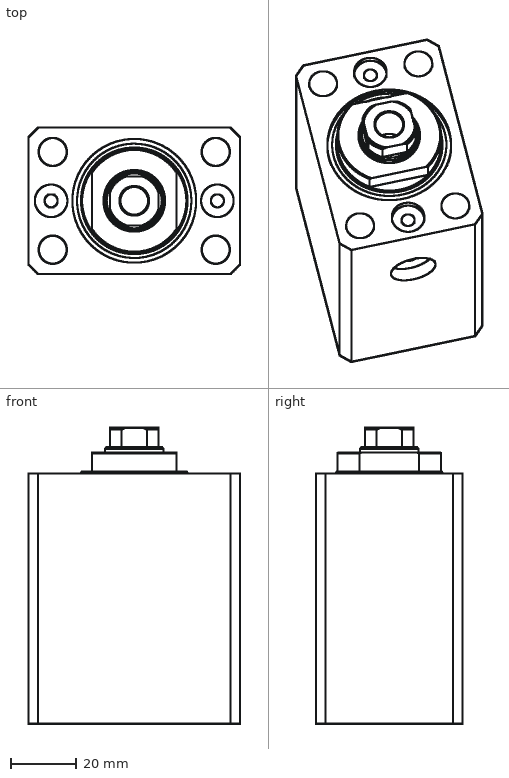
import cadquery as cq
import math

LENGTH = 65.0
WIDTH = 45.0
HEIGHT = 76.9
CORNER_CHAMFER = 3.0

MOUNT_HOLE_D = 8.5
MOUNT_SPACING_X = 50
MOUNT_SPACING_Y = 30

PORT_HOLE_D = 4.0
TOP_PORT_SPACING = 51.0
TOP_PORT_SEAT_D = 10
TOP_PORT_SEAT_DEPTH = 2.0
SIDE_PORT_SEAT_D = 14.0
SIDE_PORT_SEAT_DEPTH = 4.0
SIDE_PORT_DROP = 22.0

GLAND_DEPTH = 30
FLANGE_R = 19.0
FLANGE_CHAMFER = 1.45
COLLAR_BASE_R = 16.4
COLLAR_TOP_R = 16.0
COLLAR_HEIGHT = 0.5
BOSS_R = 15.9
BOSS_HEIGHT = 6.4
BOSS_CHAMFER = 0.3
BOSS_FLATS = 26.0
BORE_CHAMFER = 0.45

TOTAL_HEIGHT = 90.9
ROD_R = 9.0
ROD_CHAMFER = 0.5
HEAD_HEIGHT = 6.0
HEAD_R = ROD_R - ROD_CHAMFER
HEAD_FLATS = 15.0
HEAD_CHAMFER = 0.5
THREAD_D = 8.5
THREAD_DEPTH = 15.0
THREAD_TIP_ANGLE = 118
THREAD_CHAMFER = 0.3

POCKET_FLOOR = HEIGHT - GLAND_DEPTH
SIDE_PORT_Z = HEIGHT - SIDE_PORT_DROP


def cylinder(radius, bottom, top):
    """Upright cylinder on the Z axis between two heights."""
    return cq.Workplane("XY").workplane(offset=bottom).circle(radius).extrude(top - bottom)


def cut_end_ports(body):
    """Seats and drillings of the two top ports and of the side port."""
    end_x = TOP_PORT_SPACING / 2
    body = (
        body.faces(">Z")
        .workplane(origin=(0, 0, HEIGHT))
        .pushPoints([(-end_x, 0), (end_x, 0)])
        .cboreHole(PORT_HOLE_D, TOP_PORT_SEAT_D, TOP_PORT_SEAT_DEPTH, SIDE_PORT_DROP)
    )
    side = cq.Workplane("YZ", origin=(-LENGTH / 2, 0, SIDE_PORT_Z))
    side_seat = side.circle(SIDE_PORT_SEAT_D / 2).extrude(SIDE_PORT_SEAT_DEPTH)
    side_drilling = side.circle(PORT_HOLE_D / 2).extrude(LENGTH / 2)
    return body.cut(side_seat).cut(side_drilling)


def make_housing():
    body = cq.Workplane("XY").rect(LENGTH, WIDTH).extrude(HEIGHT).edges("|Z").chamfer(CORNER_CHAMFER)
    body = (
        body.faces(">Z")
        .workplane(origin=(0, 0, HEIGHT))
        .rect(MOUNT_SPACING_X, MOUNT_SPACING_Y, forConstruction=True)
        .vertices()
        .hole(MOUNT_HOLE_D)
    )
    body = cut_end_ports(body)
    return body.cut(cylinder(FLANGE_R, POCKET_FLOOR, HEIGHT))


def make_gland():
    boss_base = HEIGHT + COLLAR_HEIGHT
    boss_top = HEIGHT + BOSS_HEIGHT
    flange = cylinder(FLANGE_R, POCKET_FLOOR, HEIGHT).faces(">Z").chamfer(FLANGE_CHAMFER)
    collar = (
        cq.Workplane("XY")
        .workplane(offset=HEIGHT)
        .circle(COLLAR_BASE_R)
        .workplane(offset=COLLAR_HEIGHT)
        .circle(COLLAR_TOP_R)
        .loft()
    )
    boss = cylinder(BOSS_R, boss_base, boss_top).faces(">Z").chamfer(BOSS_CHAMFER)
    flats = cq.Workplane("XY").workplane(offset=boss_base).rect(BOSS_FLATS, 2 * BOSS_R).extrude(BOSS_HEIGHT)
    gland = flange.union(collar).union(boss.intersect(flats))
    gland = gland.cut(cylinder(ROD_R, POCKET_FLOOR, boss_top))
    return gland.faces(">Z").edges("%CIRCLE").edges(cq.selectors.RadiusNthSelector(0)).chamfer(BORE_CHAMFER)


def threaded_hole():
    """Half profile of the drilled hole, with its chamfered mouth and pointed end, turned about Z."""
    radius = THREAD_D / 2
    tip_length = radius / math.tan(math.radians(THREAD_TIP_ANGLE / 2))
    wall_bottom = TOTAL_HEIGHT - THREAD_DEPTH
    profile = [
        (0, TOTAL_HEIGHT),
        (radius + THREAD_CHAMFER, TOTAL_HEIGHT),
        (radius, TOTAL_HEIGHT - THREAD_CHAMFER),
        (radius, wall_bottom),
        (0, wall_bottom - tip_length),
    ]
    return cq.Workplane("XZ").polyline(profile).close().revolve(360, (0, 0, 0), (0, 1, 0))


def make_rod():
    head_base = TOTAL_HEIGHT - HEAD_HEIGHT
    shank = cylinder(ROD_R, POCKET_FLOOR, head_base).faces(">Z").chamfer(ROD_CHAMFER)
    head = cylinder(HEAD_R, head_base, TOTAL_HEIGHT).faces(">Z").chamfer(HEAD_CHAMFER)
    square = cq.Workplane("XY").workplane(offset=head_base).rect(HEAD_FLATS, HEAD_FLATS).extrude(HEAD_HEIGHT)
    rod = shank.union(head.intersect(square))
    return rod.cut(threaded_hole())


housing = make_housing()
gland = make_gland()
rod = make_rod()

result = cq.Compound.makeCompound([housing.val(), gland.val(), rod.val()])